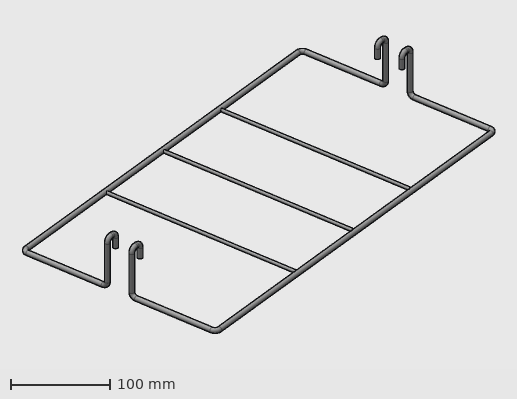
import cadquery as cq

width = 250.0
length = 468.0
height = 64.0

frame_diameter = 6.0
rung_diameter = 4.0
bend_radius = 5.5

hook_spacing = 31.0
hook_width = 19.5
hook_drop = 21.0

rung_count = 3
rung_pitch = 95.0

frame_radius = frame_diameter / 2
side_x = (width - frame_diameter) / 2
end_y = (length - frame_diameter) / 2
hook_x = hook_spacing / 2
hook_top_z = height - frame_diameter
hook_tip_y = end_y - (hook_width - frame_diameter)
hook_tip_z = hook_top_z + frame_radius - hook_drop


def bent_path(corners, radius):
    """Polyline through corners, with an arc at each right-angle bend."""
    points = [cq.Vector(*corner) for corner in corners]
    edges = []
    start = points[0]
    for before, corner, after in zip(points, points[1:], points[2:]):
        inward = (before - corner).normalized()
        outward = (after - corner).normalized()
        arc_start = corner + inward * radius
        arc_end = corner + outward * radius
        edges.append(cq.Edge.makeLine(start, arc_start))
        edges.append(cq.Edge.makeTangentArc(arc_start, inward * -1, arc_end))
        start = arc_end
    edges.append(cq.Edge.makeLine(start, points[-1]))
    return cq.Wire.assembleEdges(edges)


def half_frame():
    """The +X wire: hook, end arm, long side, end arm, hook."""
    front_half = [
        (hook_x, -hook_tip_y, hook_tip_z),
        (hook_x, -hook_tip_y, hook_top_z),
        (hook_x, -end_y, hook_top_z),
        (hook_x, -end_y, 0),
        (side_x, -end_y, 0),
    ]
    back_half = [(x, -y, z) for x, y, z in reversed(front_half)]
    path = bent_path(front_half + back_half, bend_radius)
    section = cq.Workplane("XY", origin=front_half[0]).circle(frame_radius)
    return section.sweep(cq.Workplane(path), transition="right")


def rung(y):
    """A thin cross wire joining the axes of the two long sides."""
    plane = cq.Workplane("YZ", origin=(-side_x, y, 0))
    return plane.circle(rung_diameter / 2).extrude(2 * side_x)


right_side = half_frame()
result = right_side.union(right_side.mirror("YZ"))
for index in range(rung_count):
    rung_y = (index - (rung_count - 1) / 2) * rung_pitch
    result = result.union(rung(rung_y))